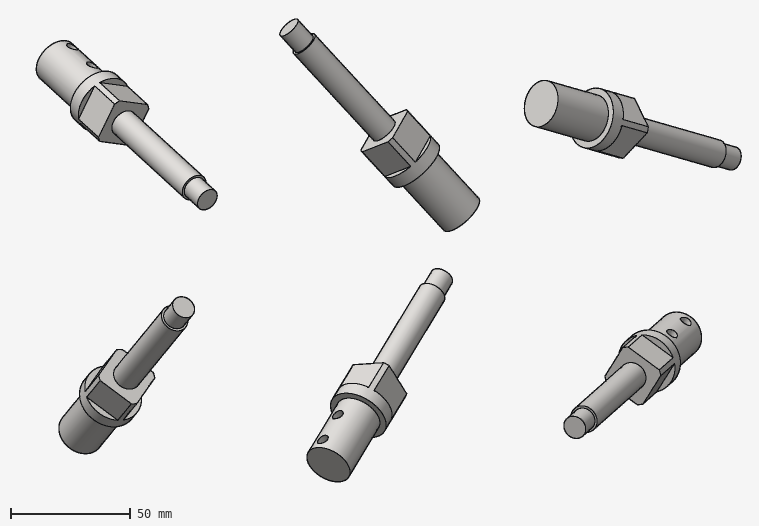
import cadquery as cq

head_diameter = 20.0
head_length = 30.0
collar_diameter = 25.8
collar_length = 6.0
flats_length = 15.0
shaft_diameter = 12.0
shaft_length = 53.0
tip_diameter = 10.0
tip_length = 10.0

width_across_flats = 20.0
flat_count = 4

hole_diameter = 5.0
hole_positions = [5.0, 20.0]
hole_depth = head_diameter / 2
tilt_angle = 30.0

collar_start = head_length
flats_start = collar_start + collar_length
shaft_start = flats_start + flats_length
tip_start = shaft_start + shaft_length


def cylinder_along_x(start, length, diameter):
    return cq.Workplane("YZ", origin=(start, 0, 0)).circle(diameter / 2).extrude(length)


def turned_about_axis(body, angle):
    """Turn a body about X, from +Z towards +Y for a positive angle."""
    return body.rotate((0, 0, 0), (1, 0, 0), -angle)


def make_turned_body():
    body = cylinder_along_x(0, head_length, head_diameter)
    body = body.union(cylinder_along_x(collar_start, collar_length + flats_length, collar_diameter))
    body = body.union(cylinder_along_x(shaft_start, shaft_length, shaft_diameter))
    return body.union(cylinder_along_x(tip_start, tip_length, tip_diameter))


def cut_wrench_flats(body):
    slab = cq.Workplane("XY", origin=(flats_start, 0, width_across_flats / 2)).box(
        flats_length, collar_diameter, collar_diameter, centered=(False, True, False)
    )
    for index in range(flat_count):
        body = body.cut(turned_about_axis(slab, tilt_angle + index * 360 / flat_count))
    return body


def cut_radial_holes(body):
    for position in hole_positions:
        bottom_height = head_diameter / 2 - hole_depth
        drill = (
            cq.Workplane("XY", origin=(position, 0, bottom_height))
            .circle(hole_diameter / 2)
            .extrude(hole_depth)
        )
        body = body.cut(turned_about_axis(drill, tilt_angle))
    return body


result = cut_radial_holes(cut_wrench_flats(make_turned_body()))